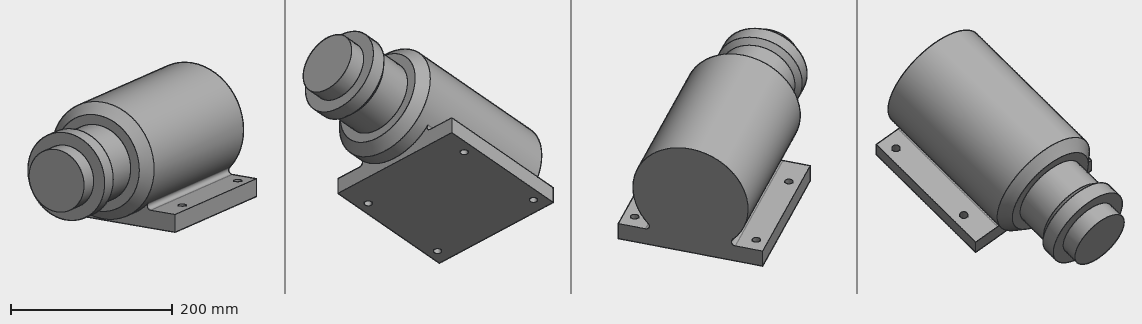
import cadquery as cq
import math

total_length = 316.5
total_height = 158.0

body_diameter = 150.0
body_chamfer = 13.3
body_length = 222.2
neck_diameter = 98.0
flange_diameter = 112.5
flange_width = 20.0
nose_diameter = 80.0
nose_length = 22.5

base_width = 188.0
base_length = 190.3
base_thickness = 23.0
base_fillet = 5.0

hole_diameter = 10.0
hole_spacing_x = 158.3
hole_spacing_y = 129.8
rear_hole_offset = 20.3

body_radius = body_diameter / 2
neck_radius = neck_diameter / 2
flange_radius = flange_diameter / 2
nose_radius = nose_diameter / 2
axis_height = total_height - body_radius
flange_front = total_length - nose_length
flange_back = flange_front - flange_width
flange_bevel = flange_radius - neck_radius


def make_turned_body():
    """Revolve the stepped half profile about the horizontal body axis."""
    profile = (
        cq.Workplane("XY")
        .polyline([
            (0, 0),
            (body_radius, 0),
            (body_radius, -(body_length - body_chamfer)),
            (body_radius - body_chamfer, -body_length),
            (neck_radius, -body_length),
            (neck_radius, -(flange_back - flange_bevel)),
            (flange_radius, -flange_back),
            (flange_radius, -flange_front),
            (nose_radius, -flange_front),
            (nose_radius, -total_length),
            (0, -total_length),
        ])
        .close()
    )
    return profile.revolve(360, (0, 0, 0), (0, 1, 0)).translate((0, 0, axis_height))


def make_base():
    """Plate joined to the body by concave fillets tangent to the plate top and the body."""
    half_base = base_width / 2
    center_distance = body_radius + base_fillet
    center_z = base_thickness + base_fillet
    center_drop = axis_height - center_z
    center_x = math.sqrt(center_distance**2 - center_drop**2)

    touch_x = center_x * body_radius / center_distance
    touch_z = axis_height - center_drop * body_radius / center_distance
    waist_x = center_x - base_fillet

    return (
        cq.Workplane("XZ")
        .moveTo(-half_base, 0)
        .lineTo(half_base, 0)
        .lineTo(half_base, base_thickness)
        .lineTo(center_x, base_thickness)
        .threePointArc((waist_x, center_z), (touch_x, touch_z))
        .lineTo(-touch_x, touch_z)
        .threePointArc((-waist_x, center_z), (-center_x, base_thickness))
        .lineTo(-half_base, base_thickness)
        .close()
        .extrude(base_length)
    )


def make_holes():
    """Four vertical through-holes at the corners of the base."""
    pattern_center_y = -(rear_hole_offset + hole_spacing_y / 2)
    return (
        cq.Workplane("XY")
        .center(0, pattern_center_y)
        .rect(hole_spacing_x, hole_spacing_y, forConstruction=True)
        .vertices()
        .circle(hole_diameter / 2)
        .extrude(base_thickness)
    )


base = make_base().cut(make_holes())
result = make_turned_body().union(base)